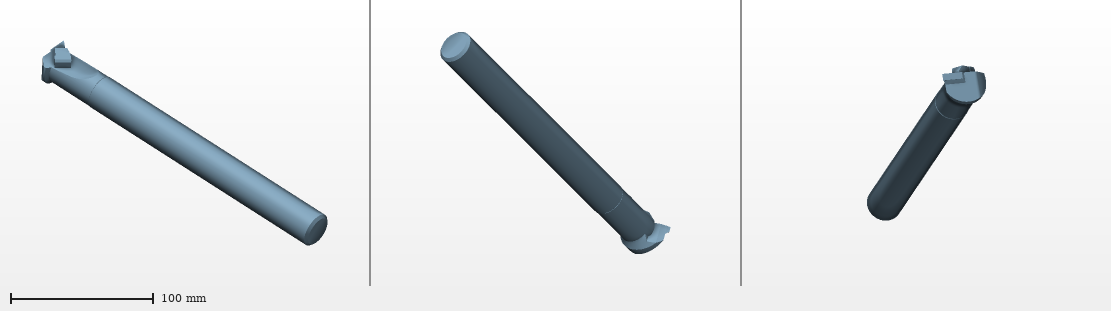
import cadquery as cq
import math

total_length = 250.0
shank_diameter = 25.0
shank_start = 50.0
shank_start_chamfer = 0.5
shank_end_chamfer = 2.0
neck_diameter = 24.5
neck_start = 8.8

head_radius = 17.5
head_offset_y = 3.0
head_end = 13.8
head_front = 1.5
head_corner_radius = 3.0
head_shoulder_y = -4.8
head_depth = 35.0

face_height = 4.2
face_rise_angle = 6.0
face_roll_angle = 11.0
runout_start = 30.0
runout_radius = 36.2

insert_tip = (-0.38, 20.2)
insert_front_corner = (-0.1, 5.8)
insert_flank_bend = (4.8, 15.5)
insert_flank_end = (8.5, 10.2)
insert_rear_corner = (9.2, -5.0)
insert_width = 9.5
insert_thickness = 7.5
insert_relief_height = 2.8
insert_relief_depth = 1.5
insert_corner_radius = 1.8

clamp_rear_corner = (15.8, -8.5)
clamp_angle = -46.0
clamp_height = 6.2
clamp_length = 19.8
clamp_rear_width = 11.5
clamp_ridge_width = 9.5
clamp_nose_width = 7.5
clamp_bulge = 0.8
clamp_block_length = 6.2
clamp_waist_depth = 0.8
clamp_taper_start = 11.8
clamp_nose_taper = 0.8
clamp_nose_length = 5.0
clamp_nose_height = 2.0
clamp_end_chamfer = 1.5

rise = math.radians(face_rise_angle)
roll = math.radians(face_roll_angle)
face_normal = (-math.sin(rise) * math.cos(roll), math.sin(roll), math.cos(rise) * math.cos(roll))
face_x = (math.cos(rise), 0, math.sin(rise))
face = cq.Plane((0, 0, face_height), face_x, face_normal)
face_side = cq.Plane(face.origin, face.xDir, -face.yDir)


def make_shank():
    neck = (
        cq.Workplane("YZ", origin=(neck_start, 0, 0))
        .circle(neck_diameter / 2)
        .extrude(shank_start - neck_start)
    )
    shank = (
        cq.Workplane("YZ", origin=(shank_start, 0, 0))
        .circle(shank_diameter / 2)
        .extrude(total_length - shank_start)
        .faces(">X").chamfer(shank_end_chamfer)
        .faces("<X").chamfer(shank_start_chamfer)
    )
    return neck.union(shank)


def make_head():
    neck_radius = neck_diameter / 2
    cone = (
        cq.Workplane("XY")
        .polyline([(0, 0), (0, neck_radius + head_end), (head_end, neck_radius), (head_end, 0)])
        .close()
        .revolve(360, (0, 0, 0), (1, 0, 0))
    )
    cylinder = cq.Workplane("YZ", origin=(0, head_offset_y, 0)).circle(head_radius).extrude(head_end)
    reach = 2 * head_end
    outline = [
        (head_front, insert_tip[1] - head_front),
        (head_front, head_shoulder_y),
        (head_front + reach, head_shoulder_y - reach),
        (head_front + reach, insert_flank_end[1]),
        insert_flank_end,
        insert_flank_bend,
    ]
    corner_middle = face.toWorldCoords((head_front, head_shoulder_y, -head_depth / 2))
    corner = cq.selectors.NearestToPointSelector(corner_middle)
    prism = (
        cq.Workplane(face).polyline(outline).close().extrude(-head_depth)
        .edges(corner).fillet(head_corner_radius)
    )
    return prism.intersect(cylinder).intersect(cone)


def make_face_cut():
    reach = total_length / 4
    return (
        cq.Workplane(face_side)
        .moveTo(-reach, 0)
        .lineTo(runout_start, 0)
        .radiusArc((runout_start + runout_radius, runout_radius), -runout_radius)
        .lineTo(-reach, runout_radius)
        .close()
        .extrude(reach, both=True)
    )


def make_insert_blank():
    run_x = insert_rear_corner[0] - insert_front_corner[0]
    run_y = insert_rear_corner[1] - insert_front_corner[1]
    run = math.hypot(run_x, run_y)
    far_corner = (
        insert_rear_corner[0] - insert_width * run_y / run,
        insert_rear_corner[1] + insert_width * run_x / run,
    )
    outline = [
        insert_tip,
        insert_front_corner,
        insert_rear_corner,
        far_corner,
        insert_flank_end,
        insert_flank_bend,
    ]
    corner_middle = face.toWorldCoords((*insert_rear_corner, -insert_thickness / 2))
    corner = cq.selectors.NearestToPointSelector(corner_middle)
    return (
        cq.Workplane(face).polyline(outline).close().extrude(-insert_thickness)
        .edges(corner).fillet(insert_corner_radius)
    )


def make_insert():
    relief = (
        cq.Workplane(face_side)
        .polyline([
            (-insert_relief_depth, -insert_thickness + insert_relief_height),
            (0, -insert_thickness + insert_relief_height),
            (insert_relief_depth, -insert_thickness),
            (-insert_relief_depth, -insert_thickness),
        ])
        .close()
        .extrude(-2 * insert_tip[1])
    )
    return make_insert_blank().cut(relief)


def make_clamp():
    base = cq.Plane(face.toWorldCoords(clamp_rear_corner), face.xDir, face.zDir).rotated((0, 0, clamp_angle))
    side = cq.Plane(base.origin, base.xDir, -base.yDir)
    ridge = -clamp_length + clamp_nose_length
    bulge_middle = (ridge / 2, (clamp_ridge_width + clamp_rear_width) / 2 + clamp_bulge)
    plan = (
        cq.Workplane(base)
        .lineTo(-clamp_block_length, 0)
        .lineTo(-clamp_block_length, clamp_waist_depth)
        .lineTo(-clamp_taper_start, clamp_waist_depth)
        .lineTo(-clamp_length, clamp_waist_depth + clamp_nose_taper)
        .lineTo(-clamp_length, clamp_nose_width)
        .lineTo(ridge, clamp_ridge_width)
        .threePointArc(bulge_middle, (0, clamp_rear_width))
        .close()
        .extrude(clamp_height)
    )
    profile = (
        cq.Workplane(side)
        .polyline([
            (0, 0),
            (0, clamp_height - clamp_end_chamfer),
            (-clamp_end_chamfer, clamp_height),
            (ridge, clamp_height),
            (-clamp_length, clamp_nose_height),
            (-clamp_length, 0),
        ])
        .close()
        .extrude(-2 * clamp_rear_width)
    )
    return plan.intersect(profile)


bar = make_shank().union(make_head()).cut(make_face_cut())
holder = bar.cut(make_insert_blank()).union(make_clamp())
insert = make_insert()
result = cq.Compound.makeCompound([holder.val(), insert.val()])